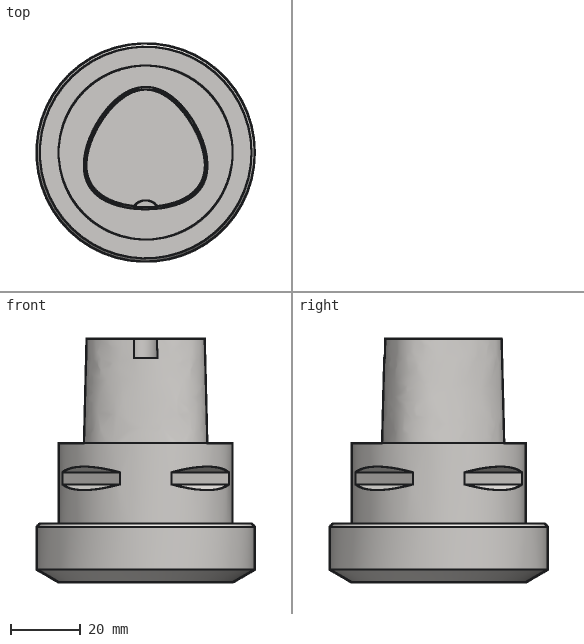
import cadquery as cq
import math

total_height = 70.0
shoulder_height = 40.0
flange_height = 16.95

body_diameter = 50.0
flange_diameter = 62.7
rim_chamfer = 1.0
underside_angle = 30.0

lobe_offset = 1.25
shank_base_radius = 17.6
taper_ratio = 20.0
shank_points = 48

keyway_radius = 4.05
keyway_inner_y = -13.7
keyway_depth = 5.5

slot_count = 4
slot_first_angle = 45.0
slot_center_height = 29.9
slot_floor_height = 3.4
slot_floor_distance = 22.1
slot_wall_angle = 30.0

body_radius = body_diameter / 2
flange_radius = flange_diameter / 2
shank_length = total_height - shoulder_height


def make_round_body():
    """Flange and cylindrical body as one revolved profile."""
    underside_rise = (flange_radius - body_radius) * math.tan(math.radians(underside_angle))
    return (
        cq.Workplane("XZ")
        .moveTo(0, 0)
        .lineTo(body_radius, 0)
        .lineTo(flange_radius, underside_rise)
        .lineTo(flange_radius, flange_height - rim_chamfer)
        .lineTo(flange_radius - rim_chamfer, flange_height)
        .lineTo(body_radius, flange_height)
        .lineTo(body_radius, shoulder_height)
        .lineTo(0, shoulder_height)
        .close()
        .revolve(360, (0, 0, 0), (0, 1, 0))
    )


def shank_outline(mean_radius):
    """Points of the three-lobed hypotrochoid, starting at the +Y lobe."""
    points = []
    for index in range(shank_points):
        angle = 2 * math.pi * index / shank_points
        x = mean_radius * math.sin(angle) - lobe_offset * math.sin(2 * angle)
        y = mean_radius * math.cos(angle) + lobe_offset * math.cos(2 * angle)
        points.append((x, y))
    return points


def make_shank():
    top_radius = shank_base_radius - shank_length / taper_ratio / 2
    return (
        cq.Workplane("XY")
        .workplane(offset=shoulder_height)
        .spline(shank_outline(shank_base_radius), periodic=True)
        .close()
        .workplane(offset=shank_length)
        .spline(shank_outline(top_radius), periodic=True)
        .close()
        .loft(ruled=True)
    )


def make_keyway():
    return (
        cq.Workplane("XY")
        .workplane(offset=total_height - keyway_depth)
        .center(0, keyway_inner_y - keyway_radius)
        .circle(keyway_radius)
        .extrude(keyway_depth)
    )


def make_gripper_slot():
    """Straight cutter along Y whose sloping walls open towards +X."""
    half_floor = slot_floor_height / 2
    cut_depth = flange_radius - slot_floor_distance
    half_mouth = half_floor + cut_depth * math.tan(math.radians(slot_wall_angle))
    return (
        cq.Workplane("XZ")
        .polyline([
            (slot_floor_distance, slot_center_height - half_floor),
            (flange_radius, slot_center_height - half_mouth),
            (flange_radius, slot_center_height + half_mouth),
            (slot_floor_distance, slot_center_height + half_floor),
        ])
        .close()
        .extrude(body_radius, both=True)
    )


result = make_round_body().union(make_shank()).cut(make_keyway())
for slot_index in range(slot_count):
    slot_angle = slot_first_angle + slot_index * 360.0 / slot_count
    result = result.cut(make_gripper_slot().rotate((0, 0, 0), (0, 0, 1), slot_angle))